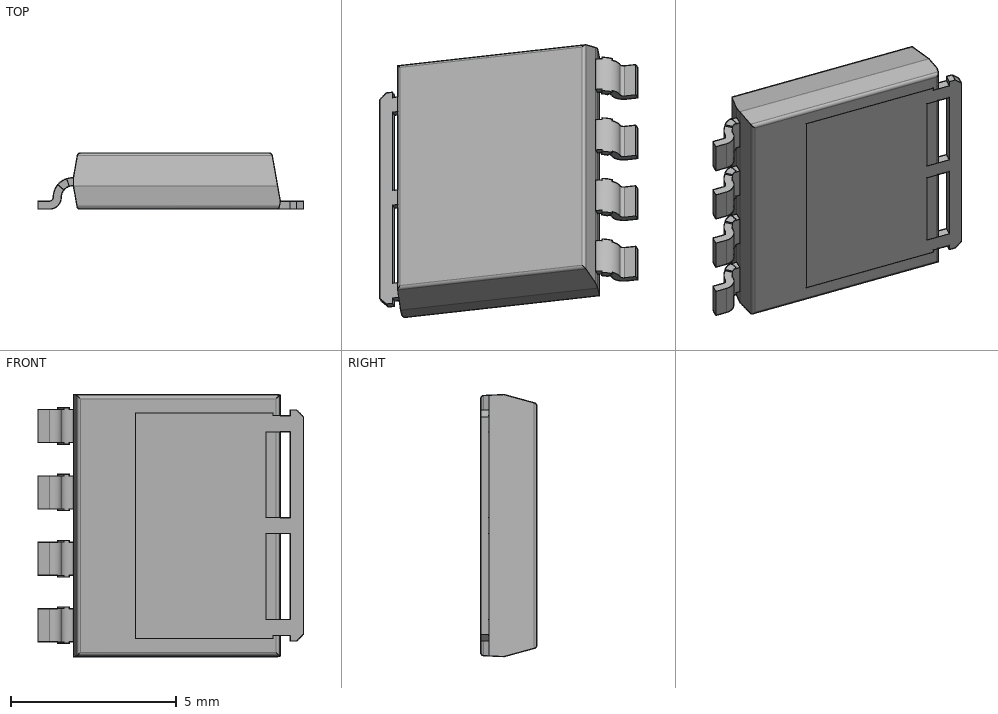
import cadquery as cq
import math


total_length = 8.0
housing_height = 1.7
housing_width = 7.9
metal_thickness = 0.25

parting_height = 0.7
left_face_x = 1.06
right_edge_x = 7.3
end_draft = 10.0
front_width = 7.84
back_width = 7.36
edge_radius = 0.1

lead_count = 4
lead_pitch = 2.0
lead_width = 1.0
dambar_width = 1.1
dambar_start_angle = 40.0
dambar_end_angle = 72.0
foot_length = 0.34
foot_bend_radius = 0.11

slug_left_x = 2.94
slug_right_x = 7.08
slug_width = 6.8
bar_count = 3
bar_width = 0.49
bars_span = 6.62
window_left_x = 6.86
crossbar_left_x = 7.6
crossbar_width = 6.97
crossbar_chamfer = 0.21

lead_top = parting_height + metal_thickness
shoulder_center_y = metal_thickness + foot_bend_radius
shoulder_outer_radius = lead_top - shoulder_center_y
shoulder_inner_radius = shoulder_outer_radius - metal_thickness
shoulder_center_x = foot_length + foot_bend_radius + shoulder_outer_radius


def block(x_min, x_max, y_max, width):
    """Box standing on the mounting plane and centred on Z = 0."""
    return cq.Workplane("XY").box(x_max - x_min, y_max, width, centered=(False, False, True)).translate(
        (x_min, 0, 0)
    )


def shoulder_point(radius, angle):
    """Point on the lead's shoulder, the angle rising from the -X direction towards +Y."""
    radians = math.radians(angle)
    return (
        shoulder_center_x - radius * math.cos(radians),
        shoulder_center_y + radius * math.sin(radians),
    )


def make_blank_housing():
    """Drafted housing: the side profile along Z crossed with the end profile along X.

    Both ends taper away from where the metal comes out: the leads on the left, the tab on the right.
    """
    slope = math.tan(math.radians(end_draft))
    front_left_x = left_face_x + parting_height * slope
    back_left_x = left_face_x + (housing_height - lead_top) * slope
    front_right_x = right_edge_x - metal_thickness * slope
    back_right_x = right_edge_x - (housing_height - metal_thickness) * slope
    side_profile = (
        cq.Workplane("XY")
        .polyline(
            [
                (front_left_x, 0),
                (front_right_x, 0),
                (right_edge_x, metal_thickness),
                (back_right_x, housing_height),
                (back_left_x, housing_height),
                (left_face_x, lead_top),
                (left_face_x, parting_height),
            ]
        )
        .close()
        .extrude(housing_width / 2, both=True)
    )
    end_profile = (
        cq.Workplane("YZ")
        .polyline(
            [
                (0, -front_width / 2),
                (parting_height, -housing_width / 2),
                (housing_height, -back_width / 2),
                (housing_height, back_width / 2),
                (parting_height, housing_width / 2),
                (0, front_width / 2),
            ]
        )
        .close()
        .extrude(total_length)
    )
    return side_profile.intersect(end_profile).faces("<Y or >Y").edges().fillet(edge_radius)


def make_tab():
    """Heat slug, three bars and a chamfered crossbar in one flat plate."""
    slug = block(slug_left_x, slug_right_x, metal_thickness, slug_width)
    arms = block(slug_left_x, crossbar_left_x, metal_thickness, bars_span)
    crossbar = (
        block(crossbar_left_x, total_length, metal_thickness, crossbar_width)
        .edges("|Y and >X")
        .chamfer(crossbar_chamfer)
    )
    tab = slug.union(arms).union(crossbar)

    bar_pitch = (bars_span - bar_width) / (bar_count - 1)
    window = block(window_left_x, crossbar_left_x, metal_thickness, bar_pitch - bar_width)
    for index in range(bar_count - 1):
        window_z = (index - (bar_count - 2) / 2) * bar_pitch
        tab = tab.cut(window.translate((0, 0, window_z)))
    return tab


def lead_strip(width):
    """Gull-wing strip of the given width, from the foot to the housing face."""
    outer_bend_radius = foot_bend_radius + metal_thickness
    return (
        cq.Workplane("XY")
        .lineTo(foot_length, 0)
        .radiusArc(shoulder_point(shoulder_inner_radius, 0), -outer_bend_radius)
        .radiusArc(shoulder_point(shoulder_inner_radius, 90), shoulder_inner_radius)
        .lineTo(left_face_x, parting_height)
        .lineTo(left_face_x, lead_top)
        .lineTo(*shoulder_point(shoulder_outer_radius, 90))
        .radiusArc(shoulder_point(shoulder_outer_radius, 0), -shoulder_outer_radius)
        .radiusArc((foot_length, metal_thickness), foot_bend_radius)
        .lineTo(0, metal_thickness)
        .close()
        .extrude(width / 2, both=True)
    )


def dambar_wedge():
    """Wedge about the shoulder axis that spans the stretch of lead left at full dambar width."""
    reach = 2 * shoulder_outer_radius
    return (
        cq.Workplane("XY")
        .moveTo(shoulder_center_x, shoulder_center_y)
        .lineTo(*shoulder_point(reach, dambar_start_angle))
        .lineTo(*shoulder_point(reach, dambar_end_angle))
        .close()
        .extrude(dambar_width, both=True)
    )


def make_lead(center_z):
    """Gull-wing lead, trimmed to lead width everywhere but at the dambar stub on its shoulder."""
    trim_width = (dambar_width - lead_width) / 2
    side_trim = block(0, total_length, housing_height, trim_width).cut(dambar_wedge())
    trim_z = (lead_width + trim_width) / 2
    lead = lead_strip(dambar_width)
    for side in (-1, 1):
        lead = lead.cut(side_trim.translate((0, 0, side * trim_z)))
    return lead.translate((0, 0, center_z))


tab = make_tab()
housing = make_blank_housing().cut(tab)

leads = []
for index in range(lead_count):
    leads.append(make_lead((index - (lead_count - 1) / 2) * lead_pitch))

result = cq.Compound.makeCompound(
    [housing.solids().val(), tab.solids().val(), *[lead.solids().val() for lead in leads]]
)